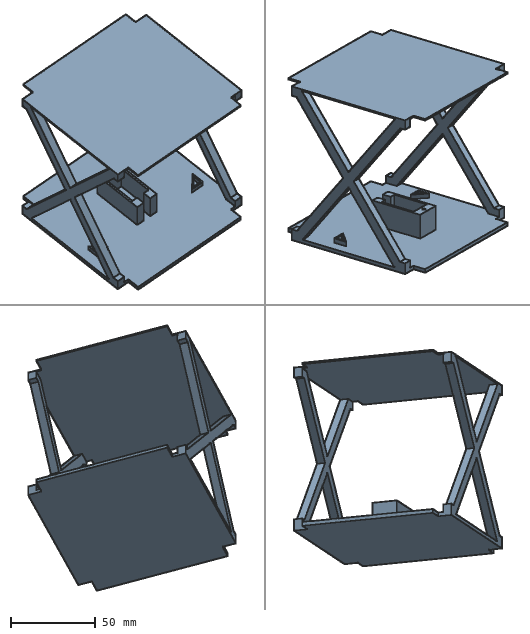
import cadquery as cq
import math

size = 100.0
notch = 8.5
base_thickness = 2.4
top_thickness = 1.0

frame_thickness = 5.2
strut_center_z = 50.3
strut_slope = 1.28
strut_half_run = 3.9
foot_width = 6.0
bottom_foot_height = 7.0
top_foot_height = 6.1

holder_x_min = -21.9
holder_length = 34.9
holder_width = 15.7
holder_height = 15.5
holder_end_wall = 5.7
holder_side_wall = 1.4
exit_slot_width = 5.3
screw_hole_diameter = 2.0
screw_hole_offset = 3.0

boss_corner_x = 15.9
boss_corner_y = 42.5
front_boss_leg = 8.0
back_boss_leg = 9.0
boss_height = 2.8
boss_wall = 1.0

plate_half_side = size / 2 - notch


def box_between(x_range, y_range, z_range):
    """Box spanning the given (low, high) range on each axis."""
    lows, highs = zip(x_range, y_range, z_range)
    lengths = [high - low for low, high in zip(lows, highs)]
    return cq.Workplane("XY").box(*lengths, centered=False).translate(lows)


def notched_plate(bottom_z, thickness):
    """Square plate with a square notch in every corner."""
    along_x = cq.Workplane("XY").box(size, 2 * plate_half_side, thickness, centered=(True, True, False))
    along_y = cq.Workplane("XY").box(2 * plate_half_side, size, thickness, centered=(True, True, False))
    return along_x.union(along_y).translate((0, 0, bottom_z))


def strut(lean, y_range):
    """Slanted bar from bottom to top; lean +1 rises toward +X, -1 toward -X."""
    low_x = -lean * strut_center_z / strut_slope
    high_x = lean * (size - strut_center_z) / strut_slope
    bar = (
        cq.Workplane("XZ", origin=(0, y_range[1], 0))
        .polyline([
            (low_x - strut_half_run, 0),
            (low_x + strut_half_run, 0),
            (high_x + strut_half_run, size),
            (high_x - strut_half_run, size),
        ])
        .close()
        .extrude(frame_thickness)
    )
    limits = box_between((-plate_half_side, plate_half_side), y_range, (0, size))
    return bar.intersect(limits)


def cross_frame(y_min):
    """Two crossing struts with a foot block at each of their four ends."""
    y_range = (y_min, y_min + frame_thickness)
    frame = strut(1, y_range).union(strut(-1, y_range))
    for foot_x in (-plate_half_side, plate_half_side - foot_width):
        for z_range in ((0, bottom_foot_height), (size - top_foot_height, size)):
            frame = frame.union(box_between((foot_x, foot_x + foot_width), y_range, z_range))
    return frame


def holder():
    """Box with a pocket, a slot through its +X wall and a hole in its -X wall."""
    x_min, x_max = holder_x_min, holder_x_min + holder_length
    half_width = holder_width / 2
    half_pocket = half_width - holder_side_wall
    half_slot = exit_slot_width / 2
    pocket_end = x_max - holder_end_wall
    top_z = base_thickness + holder_height
    z_range = (base_thickness, top_z)

    body = box_between((x_min, x_max), (-half_width, half_width), z_range)
    pocket = box_between((x_min + holder_end_wall, pocket_end), (-half_pocket, half_pocket), z_range)
    slot = box_between((pocket_end, x_max), (-half_slot, half_slot), z_range)
    screw_hole = (
        cq.Workplane("XY", origin=(x_min + screw_hole_offset, 0, base_thickness))
        .circle(screw_hole_diameter / 2)
        .extrude(holder_height)
    )
    return body.cut(pocket).cut(slot).cut(screw_hole)


def triangle_prism(corner_x, corner_y, leg, y_side):
    """Right-angled prism whose legs run from the corner toward -X and toward Y = 0."""
    return (
        cq.Workplane("XY", origin=(0, 0, base_thickness))
        .polyline([
            (corner_x, corner_y),
            (corner_x - leg, corner_y),
            (corner_x, corner_y - y_side * leg),
        ])
        .close()
        .extrude(boss_height)
    )


def triangle_boss(y_side, leg):
    """Triangular boss with an even wall around a triangular opening."""
    corner_y = y_side * boss_corner_y
    leg_loss = boss_wall * (2 + math.sqrt(2))
    outer = triangle_prism(boss_corner_x, corner_y, leg, y_side)
    opening = triangle_prism(
        boss_corner_x - boss_wall,
        corner_y - y_side * boss_wall,
        leg - leg_loss,
        y_side,
    )
    return outer.cut(opening)


result = (
    notched_plate(0, base_thickness)
    .union(notched_plate(size - top_thickness, top_thickness))
    .union(cross_frame(-size / 2))
    .union(cross_frame(size / 2 - frame_thickness))
    .union(holder())
    .union(triangle_boss(-1, front_boss_leg))
    .union(triangle_boss(1, back_boss_leg))
)